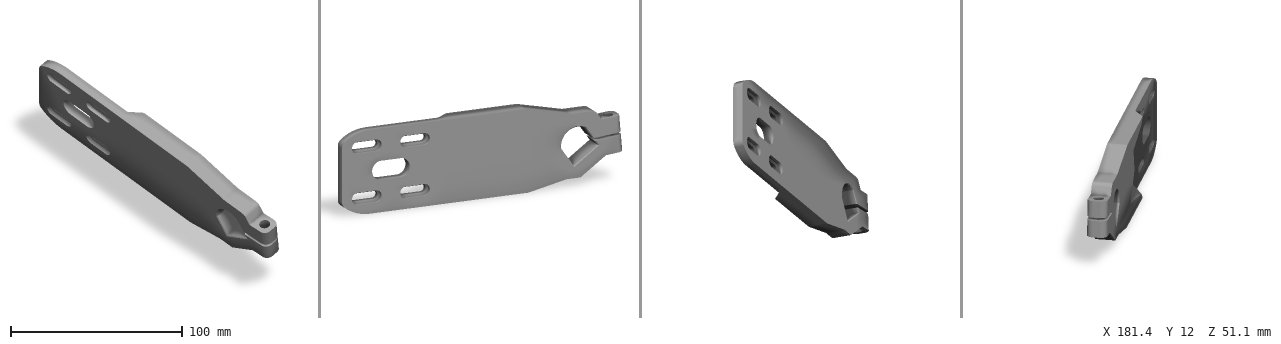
import cadquery as cq
import math

length = 181.4
width = 51.1
half_width = width / 2
thickness = 12.0
plate_thickness = thickness / 2

end_arc_center_x = 17.6
end_corner_radius = 4.2

upper_taper_start_x = 117.5
upper_taper_end_x = 146.7
lower_taper_start_x = 119.7
lower_taper_end_x = 144.2
neck_top = 18.9
neck_bottom = -20.5
taper_start_radius = 5.0
taper_end_radius = 2.2

bore_center_x = 151.5
bore_radius = 10.5
bore_half_width = 9.5
bore_floor = 9.2
bore_turn = -55.0
bore_chamfer = 0.5

shoulder_wall = 20.1
floor_wall = 17.8
shoulder_radius = 4.0

arm_tilt = 5.0
arm_half_height = 11.0
arm_offset = 0.47
clamp_gap = 2.0
arm_end_radius = 4.0
screw_diameter = 6.3
screw_distance = 23.0

mount_center_x = 31.4
slot_pitch = 31.0
slot_travel = 11.8
slot_width = 4.7
slot_head_width = 7.3
slot_head_depth = 2.5
slot_cone_depth = 0.7
window_length = 24.1
window_height = 11.6

recess_draft = 43.0
rail_mouth_x = 72.2
rail_corner_x = 75.8
rail_corner_z = 21.8
recess_overrun = 10.9
recess_open_x = -36.3
recess_end_wall = [(99.7, 14.9), (97.5, 7.3), (96.8, 1.0), (108.0, -15.0)]

arm_top = arm_offset + arm_half_height
arm_bottom = arm_offset - arm_half_height
tilt = math.radians(arm_tilt)
arm_end = (length - bore_center_x + arm_bottom * math.sin(tilt)) / math.cos(tilt)
arm_axis = cq.Vector(math.cos(tilt), 0, math.sin(tilt))
screw_axis = cq.Vector(-math.sin(tilt), 0, math.cos(tilt))


def around_bore(along, across, angle):
    """(x, z) of a point given in a frame turned about the bore centre."""
    c = math.cos(math.radians(angle))
    s = math.sin(math.radians(angle))
    return bore_center_x + along * c - across * s, along * s + across * c


def meet(point_a, angle_a, point_b, angle_b):
    """Crossing of two lines in XZ, each given by a point and a direction angle."""
    a = math.radians(angle_a)
    b = math.radians(angle_b)
    dx = point_b[0] - point_a[0]
    dz = point_b[1] - point_a[1]
    reach = (dx * math.sin(b) - dz * math.cos(b)) / math.sin(b - a)
    return point_a[0] + reach * math.cos(a), point_a[1] + reach * math.sin(a)


def prism(points):
    """Solid with an XZ outline, through the whole thickness."""
    return cq.Workplane("XZ").polyline(points).close().extrude(-thickness)


def turned_box(along_range, across_range, angle):
    """Through-thickness block in a frame turned about the bore centre."""
    near, far = along_range
    low, high = across_range
    corners = [(near, low), (far, low), (far, high), (near, high)]
    return prism([around_bore(along, across, angle) for along, across in corners])


def edge_at(point):
    """Selector of the Y-direction edge through an (x, z) point."""
    x, z = point
    reach = 0.2
    return cq.selectors.BoxSelector(
        (x - reach, 0, z - reach), (x + reach, thickness, z + reach)
    )


def make_blank():
    """Full-thickness outline with the neck, shoulder and clamp arms."""
    shoulder_point = around_bore(0, shoulder_wall, bore_turn)
    floor_point = around_bore(floor_wall, 0, bore_turn)
    floor_angle = bore_turn + 90
    arm_lower_end = around_bore(arm_end, arm_bottom, arm_tilt)
    arm_upper_end = around_bore(arm_end, arm_top, arm_tilt)
    shoulder = meet((0, neck_top), 0, shoulder_point, bore_turn)
    upper_taper_start = (upper_taper_start_x, half_width)
    upper_taper_end = (upper_taper_end_x, neck_top)
    blank = prism([
        (0, -half_width),
        (lower_taper_start_x, -half_width),
        (lower_taper_end_x, neck_bottom),
        meet((0, neck_bottom), 0, floor_point, floor_angle),
        meet(floor_point, floor_angle, arm_lower_end, arm_tilt),
        arm_lower_end,
        arm_upper_end,
        meet(shoulder_point, bore_turn, arm_upper_end, arm_tilt),
        shoulder,
        upper_taper_end,
        upper_taper_start,
        (0, half_width),
    ])
    blank = blank.edges(edge_at(shoulder)).fillet(shoulder_radius)
    blank = blank.edges(edge_at(upper_taper_start)).fillet(taper_start_radius)
    blank = blank.edges(edge_at(upper_taper_end)).fillet(taper_end_radius)

    arm_tip = cq.selectors.DirectionMinMaxSelector(arm_axis)
    tip_edges = cq.selectors.ParallelDirSelector(screw_axis)
    return blank.faces(arm_tip).edges(tip_edges).fillet(arm_end_radius)


def round_mounting_end(blank):
    """Trim the -X end to a wide arc and soften the corners it leaves."""
    disc = cq.Workplane("XZ").center(end_arc_center_x, 0).circle(half_width).extrude(-thickness)
    beyond = cq.Workplane("XY").box(length, thickness, width, centered=(False, False, True))
    beyond = beyond.translate((end_arc_center_x, 0, 0))
    trimmed = blank.intersect(disc.union(beyond))
    return trimmed.faces("<X").edges("|Y").fillet(end_corner_radius)


def make_recess():
    """Drafted pocket from the back face down to the plate, open at the mounting end."""
    mouth_slope = (rail_corner_x - rail_mouth_x) / (half_width - rail_corner_z)
    outer_z = half_width + recess_overrun
    outer_x = rail_mouth_x - recess_overrun * mouth_slope
    outline = [
        (recess_open_x, outer_z),
        (outer_x, outer_z),
        (rail_corner_x, rail_corner_z),
        *recess_end_wall,
        (rail_corner_x, -rail_corner_z),
        (outer_x, -outer_z),
        (recess_open_x, -outer_z),
    ]
    back = cq.Workplane("XZ", origin=(0, thickness, 0))
    return back.polyline(outline).close().extrude(thickness - plate_thickness, taper=recess_draft)


def bore_outline(plane, growth=0.0):
    """Bore outline: floor and two flats joined by an arc, all moved outward by growth."""
    radius = bore_radius + growth
    half = bore_half_width + growth
    floor = bore_floor + growth
    arc_start = -math.sqrt(radius**2 - half**2)
    return (
        plane.moveTo(*around_bore(arc_start, -half, bore_turn))
        .lineTo(*around_bore(floor, -half, bore_turn))
        .lineTo(*around_bore(floor, half, bore_turn))
        .lineTo(*around_bore(arc_start, half, bore_turn))
        .threePointArc(
            around_bore(-radius, 0, bore_turn),
            around_bore(arc_start, -half, bore_turn),
        )
        .close()
    )


def make_bore():
    """Through bore, flared at the front face to leave a chamfered rim."""
    straight = bore_outline(cq.Workplane("XZ")).extrude(-thickness)
    rim = bore_outline(cq.Workplane("XZ"), bore_chamfer).workplane(offset=-bore_chamfer)
    flare = bore_outline(rim).loft(ruled=True)
    return straight.union(flare)


def make_screw_hole():
    x, z = around_bore(screw_distance, 0, arm_tilt)
    start = cq.Vector(x, thickness / 2, z) - screw_axis * half_width
    return cq.Workplane(cq.Solid.makeCylinder(screw_diameter / 2, width, start, screw_axis))


def motor_slots(start, depth, slot_size, taper=0.0):
    """Four slots on the motor hole pattern, cut toward +Y from y = start."""
    half_pitch = slot_pitch / 2
    corners = [(x, z) for x in (-half_pitch, half_pitch) for z in (-half_pitch, half_pitch)]
    plane = cq.Workplane("XZ", origin=(mount_center_x, start, 0)).pushPoints(corners)
    return plane.slot2D(slot_travel + slot_size, slot_size).extrude(-depth, taper=taper)


def cut_motor_slots(body):
    """Through slots with a screw-head step that ends in a sloped shoulder."""
    shoulder_run = (slot_head_width - slot_width) / 2
    cone_angle = math.degrees(math.atan2(shoulder_run, slot_cone_depth))
    body = body.cut(motor_slots(0, thickness, slot_width))
    body = body.cut(motor_slots(0, slot_head_depth, slot_head_width))
    return body.cut(motor_slots(slot_head_depth, slot_cone_depth, slot_head_width, cone_angle))


def make_window():
    sketch = cq.Workplane("XZ").center(mount_center_x, 0).slot2D(window_length, window_height)
    return sketch.extrude(-thickness)


def make_clamp_gap():
    across = (arm_offset - clamp_gap / 2, arm_offset + clamp_gap / 2)
    return turned_box((0, 2 * arm_end), across, arm_tilt)


result = round_mounting_end(make_blank()).cut(make_recess())
result = result.cut(make_bore())
result = result.cut(make_clamp_gap()).cut(make_screw_hole())
result = cut_motor_slots(result.cut(make_window())).solids()